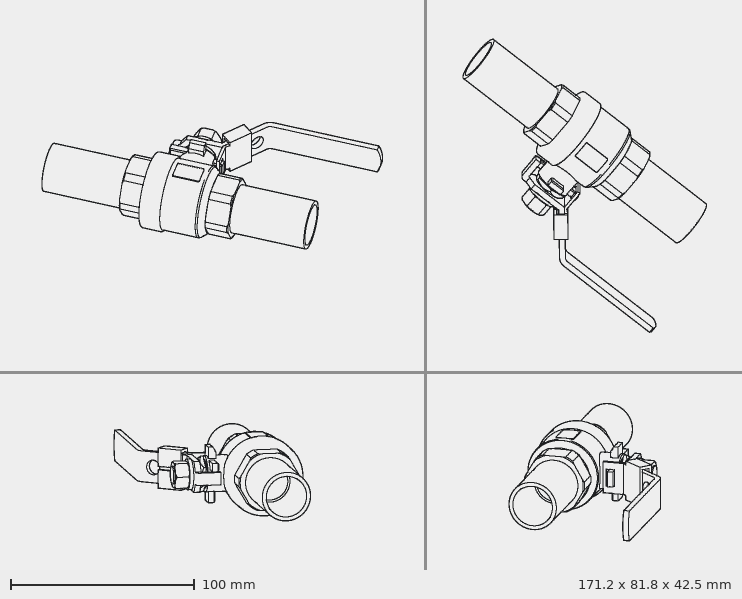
import cadquery as cq
import math


PIPE_LEFT, PIPE_RIGHT = -76.2, 72.9
PIPE_DIA = 26.9
PIPE_BORE_DIA = 22.5
VALVE_BORE_DIA = 20.0

LEFT_HEX_END, RIGHT_HEX_END = -31.1, 30.8
END_HEX_FLATS = 31.5
END_HEX_CORNER_DIA = 34.0
END_HEX_CHAMFER = 0.6

FLANGE_LEFT, FLANGE_RIGHT = -18.8, -7.0
FLANGE_DIA = 42.5
FLANGE_ROUND = 1.0
BODY_DIA = 40.0
SHOULDER_START = 13.2
CONE_START, CONE_START_DIA = 14.2, 39.4
CONE_END, CONE_END_DIA = 17.0, 34.5
BODY_RIGHT, BODY_RIGHT_DIA = 17.8, 32.9

PAD_LEFT, PAD_RIGHT = -4.5, 10.8
PAD_WIDTH = 10.0
PAD_CORNER = 0.9
PAD_DEPTH = 1.7

NECK_DIA, NECK_TOP = 20.0, 29.8
COLLAR_DIA = 15.7
GLAND_BOTTOM, GLAND_TOP = 30.6, 33.4
GLAND_FLATS, GLAND_CHAMFER = 17.1, 1.5
STEM_DIA = 10.5
WASHER_DIA, WASHER_THICK = 16.8, 2.0
NUT_CORNERS, NUT_HEIGHT, NUT_CHAMFER = 15.7, 7.7, 0.7
THREAD_DIA, THREAD_TOP = 10.0, 48.0

STRIP_THICK = 3.3
LEVER_WIDTH = 17.1
PLATE_TOP = 37.5
PLATE_MID = PLATE_TOP - STRIP_THICK / 2
TAB_LEFT, TAB_BOTTOM, TAB_WIDTH = -16.3, 24.0, 6.8
TAPER_START, TAPER_END = -12.3, -8.7
RISE_ANGLE = 50.0
RISE_FOOT = 11.3
GRIP_TOP = 60.5
GRIP_MID = GRIP_TOP - STRIP_THICK / 2
LEVER_RIGHT = 95.0
TIP_BULGE = 2.0
TAB_BEND_ROUND = 2.0
GRIP_BEND_ROUND = 3.5
LEVER_HOLE_DIA = 8.0
LEVER_HOLE_Y = 52.4

SLIDER_START, SLIDER_LENGTH = 2.9, 14.0
SLIDER_WIDTH, SLIDER_DEPTH = 22.2, 7.7
SLIDER_WALL = 1.7
SLIDER_BELOW = 3.3
SLIDER_SHIFT = 0.5
SEAM_WIDTH = 1.9
LATCH_LEFT, LATCH_BOTTOM = 12.0, 22.8
LATCH_KNEE = 34.4
LATCH_WIDTH = 17.6
WINDOW_BOTTOM, WINDOW_TOP, WINDOW_WIDTH = 24.3, 29.1, 9.5

LUG_TOP, LUG_BOTTOM = 28.5, 24.8
LUG_REACH = 15.4
SIDE_LUG_WIDTH = 8.5
LUG_CHAMFER = 0.7
BEVELLED_LUG_BOTTOM = 24.3
BEVEL_TOP = 26.0
BEVEL_HEIGHT = 2.9
STOP_LUG_LOW, STOP_LUG_HIGH = 3.8, 8.4
LATCH_LUG_REACH = 14.9


def x_cylinder(dia, left, right):
    return cq.Workplane("YZ", origin=(left, 0, 0)).circle(dia / 2).extrude(right - left)


def y_cylinder(dia, bottom, top):
    return cq.Workplane("XZ", origin=(0, bottom, 0)).circle(dia / 2).extrude(bottom - top)


def box(x_range, y_range, z_range):
    sizes = [high - low for low, high in (x_range, y_range, z_range)]
    corner = (x_range[0], y_range[0], z_range[0])
    return cq.Workplane("XY", origin=corner).box(*sizes, centered=False)


def extrude_across(outline, width):
    """Extrude an outline in the XY plane evenly to both sides of Z = 0."""
    return cq.Workplane("XY").polyline(outline).close().extrude(width / 2, both=True)


def hexagon_corners(flats):
    return flats / math.cos(math.pi / 6)


RISE = math.radians(RISE_ANGLE)


def rise_point(along, above):
    x = RISE_FOOT + along * math.cos(RISE) - above * math.sin(RISE)
    y = PLATE_MID + along * math.sin(RISE) + above * math.cos(RISE)
    return (x, y)


def end_hexagon(left, right, outer_face):
    """Hexagon with turned corners, chamfered on its outer face."""
    hexagon = (
        cq.Workplane("YZ", origin=(left, 0, 0))
        .polygon(6, hexagon_corners(END_HEX_FLATS))
        .extrude(right - left)
    )
    turned = x_cylinder(END_HEX_CORNER_DIA, left, right)
    return hexagon.intersect(turned.faces(outer_face).chamfer(END_HEX_CHAMFER))


def label_pad(side):
    pad = box(
        (PAD_LEFT, PAD_RIGHT),
        (-PAD_WIDTH / 2, PAD_WIDTH / 2),
        (BODY_DIA / 2 - PAD_DEPTH, BODY_DIA / 2),
    )
    pad = pad.edges("|Z and >X").fillet(PAD_CORNER)
    return pad if side > 0 else pad.mirror("XY")


def valve_body():
    shell = (
        cq.Workplane("XY")
        .moveTo(FLANGE_LEFT, 0)
        .lineTo(FLANGE_LEFT, BODY_DIA / 2)
        .lineTo(SHOULDER_START, BODY_DIA / 2)
        .lineTo(CONE_START, CONE_START_DIA / 2)
        .lineTo(CONE_END, CONE_END_DIA / 2)
        .lineTo(BODY_RIGHT, BODY_RIGHT_DIA / 2)
        .lineTo(BODY_RIGHT, 0)
        .close()
        .revolve(360, (0, 0, 0), (1, 0, 0))
    )
    flange = x_cylinder(FLANGE_DIA, FLANGE_LEFT, FLANGE_RIGHT).edges().fillet(FLANGE_ROUND)
    body = shell.union(flange)
    body = body.union(end_hexagon(LEFT_HEX_END, FLANGE_LEFT, "<X"))
    body = body.union(end_hexagon(BODY_RIGHT, RIGHT_HEX_END, ">X"))
    body = body.union(x_cylinder(PIPE_DIA, PIPE_LEFT, PIPE_RIGHT))
    for side in (1, -1):
        body = body.union(label_pad(side))
    return body.union(y_cylinder(NECK_DIA, 0, NECK_TOP))


def cut_bores(body):
    body = body.cut(x_cylinder(VALVE_BORE_DIA, PIPE_LEFT, PIPE_RIGHT))
    body = body.cut(x_cylinder(PIPE_BORE_DIA, PIPE_LEFT, LEFT_HEX_END))
    return body.cut(x_cylinder(PIPE_BORE_DIA, RIGHT_HEX_END, PIPE_RIGHT))


def y_nut(corners, bottom, top, turned):
    """Hexagon nut on the stem with corners toward X, trimmed by a turned blank."""
    nut = cq.Workplane("XZ", origin=(0, bottom, 0)).polygon(6, corners).extrude(bottom - top)
    return nut.intersect(turned)


def stem_stack():
    washer_top = PLATE_TOP + WASHER_THICK
    nut_top = washer_top + NUT_HEIGHT
    gland_corners = hexagon_corners(GLAND_FLATS)
    gland_blank = y_cylinder(gland_corners, GLAND_BOTTOM, GLAND_TOP).faces(">Y").chamfer(GLAND_CHAMFER)
    gland = y_nut(gland_corners, GLAND_BOTTOM, GLAND_TOP, gland_blank)
    gland = gland.rotate((0, 0, 0), (0, 1, 0), 90)
    nut_blank = y_cylinder(NUT_CORNERS, washer_top, nut_top).edges().chamfer(NUT_CHAMFER)
    stack = y_cylinder(COLLAR_DIA, NECK_TOP, GLAND_BOTTOM).union(gland)
    stack = stack.union(y_cylinder(STEM_DIA, GLAND_TOP, PLATE_TOP))
    stack = stack.union(y_cylinder(WASHER_DIA, PLATE_TOP, washer_top))
    stack = stack.union(y_nut(NUT_CORNERS, washer_top, nut_top, nut_blank))
    return stack.union(y_cylinder(THREAD_DIA, nut_top, THREAD_TOP))


def lever():
    half = STRIP_THICK / 2
    mitre = half * math.tan(RISE / 2)
    rise_top = RISE_FOOT + (GRIP_MID - PLATE_MID) / math.tan(RISE)
    tab_outer = (TAB_LEFT, PLATE_TOP)
    grip_outer = (rise_top - mitre, GRIP_TOP)
    grip_inner = (rise_top + mitre, GRIP_TOP - STRIP_THICK)
    outline = [
        (TAB_LEFT, TAB_BOTTOM),
        tab_outer,
        (RISE_FOOT - mitre, PLATE_TOP),
        grip_outer,
        (LEVER_RIGHT, GRIP_TOP),
        (LEVER_RIGHT, GRIP_TOP - STRIP_THICK),
        grip_inner,
        (RISE_FOOT + mitre, PLATE_TOP - STRIP_THICK),
        (TAB_LEFT + STRIP_THICK, PLATE_TOP - STRIP_THICK),
        (TAB_LEFT + STRIP_THICK, TAB_BOTTOM),
    ]
    strip = extrude_across(outline, LEVER_WIDTH)
    bend_rounds = (
        (tab_outer, TAB_BEND_ROUND),
        (grip_outer, GRIP_BEND_ROUND + STRIP_THICK),
        (grip_inner, GRIP_BEND_ROUND),
    )
    for (x, y), radius in bend_rounds:
        strip = strip.edges(cq.NearestToPointSelector((x, y, 0))).fillet(radius)

    wide, narrow = LEVER_WIDTH / 2, TAB_WIDTH / 2
    plan = (
        cq.Workplane("XZ")
        .moveTo(TAB_LEFT, -narrow)
        .lineTo(TAPER_START, -narrow)
        .lineTo(TAPER_END, -wide)
        .lineTo(LEVER_RIGHT - TIP_BULGE, -wide)
        .threePointArc((LEVER_RIGHT, 0), (LEVER_RIGHT - TIP_BULGE, wide))
        .lineTo(TAPER_END, wide)
        .lineTo(TAPER_START, narrow)
        .lineTo(TAB_LEFT, narrow)
        .close()
        .extrude(-GRIP_TOP)
    )
    hole_along = (LEVER_HOLE_Y - PLATE_MID) / math.sin(RISE)
    hole_x, hole_y = rise_point(hole_along, -STRIP_THICK)
    across = (-math.sin(RISE), math.cos(RISE), 0)
    hole_plane = cq.Plane(origin=(hole_x, hole_y, 0), xDir=(0, 0, 1), normal=across)
    hole = cq.Workplane(hole_plane).circle(LEVER_HOLE_DIA / 2).extrude(2 * STRIP_THICK)
    return strip.intersect(plan).cut(hole)


def rise_block(start, end, low, high, width):
    corners = [(start, low), (end, low), (end, high), (start, high)]
    return extrude_across([rise_point(*corner) for corner in corners], width)


def slider():
    """Folded sleeve around the rise, with a latch plate that hooks over a lug."""
    start, end = SLIDER_START, SLIDER_START + SLIDER_LENGTH
    low, high = -SLIDER_BELOW, SLIDER_DEPTH - SLIDER_BELOW
    inner_low, inner_high = low + SLIDER_WALL, high - SLIDER_WALL
    sleeve = rise_block(start, end, low, high, SLIDER_WIDTH)
    sleeve = sleeve.cut(rise_block(start, end, inner_low, inner_high, SLIDER_WIDTH - 2 * SLIDER_WALL))
    sleeve = sleeve.cut(rise_block(start, end, inner_high, high, SEAM_WIDTH))

    latch_right = LATCH_LEFT + SLIDER_WALL
    latch = extrude_across(
        [
            rise_point(start, inner_low),
            (LATCH_LEFT, LATCH_KNEE),
            (LATCH_LEFT, LATCH_BOTTOM),
            (latch_right, LATCH_BOTTOM),
            (latch_right, LATCH_KNEE),
            rise_point(start, low),
        ],
        LATCH_WIDTH,
    )
    window = box(
        (LATCH_LEFT, latch_right),
        (WINDOW_BOTTOM, WINDOW_TOP),
        (-WINDOW_WIDTH / 2, WINDOW_WIDTH / 2),
    )
    return sleeve.union(latch.cut(window)).translate((0, 0, SLIDER_SHIFT))


def plain_lug(x_range, z_range):
    lug = box(x_range, (LUG_BOTTOM, LUG_TOP), z_range)
    return lug.faces("<Y").chamfer(LUG_CHAMFER)


def bevelled_lug():
    return (
        cq.Workplane("ZY", origin=(SIDE_LUG_WIDTH / 2, 0, 0))
        .moveTo(0, BEVELLED_LUG_BOTTOM)
        .lineTo(0, LUG_TOP)
        .lineTo(LUG_REACH, LUG_TOP)
        .lineTo(LUG_REACH, BEVEL_TOP)
        .lineTo(LUG_REACH - BEVEL_HEIGHT, BEVELLED_LUG_BOTTOM)
        .close()
        .extrude(SIDE_LUG_WIDTH)
    )


def stop_lugs():
    half = SIDE_LUG_WIDTH / 2
    lugs = plain_lug((-LUG_REACH, 0), (STOP_LUG_LOW, STOP_LUG_HIGH))
    lugs = lugs.union(plain_lug((0, LATCH_LUG_REACH), (-half, half)))
    lugs = lugs.union(plain_lug((-half, half), (-LUG_REACH, 0)))
    return lugs.union(bevelled_lug())


valve = valve_body().union(stop_lugs()).union(stem_stack())
valve = valve.union(lever()).union(slider())
result = cut_bores(valve)